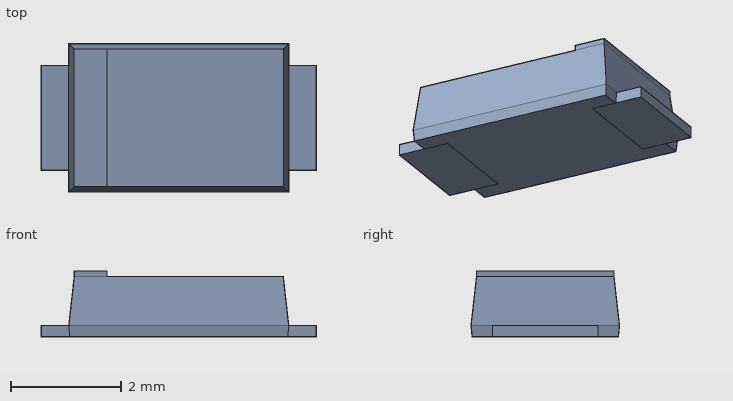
import cadquery as cq

total_length = 5.0
total_height = 1.2

housing_length = 4.0
housing_width = 2.7
parting_height = 0.21
top_inset = 0.1
base_inset = 0.02

band_length = 0.6
band_thickness = 0.1

lead_width = 1.91
lead_depth_in_housing = 0.5

housing_height = total_height - band_thickness
top_length = housing_length - 2 * top_inset
top_width = housing_width - 2 * top_inset
lead_length = (total_length - housing_length) / 2 + lead_depth_in_housing


def frustum(bottom_z, bottom_inset, top_z, upper_inset):
    """Tapered block between two rectangles inset from the parting outline."""
    return (
        cq.Workplane("XY", origin=(0, 0, bottom_z))
        .rect(housing_length - 2 * bottom_inset, housing_width - 2 * bottom_inset)
        .workplane(offset=top_z - bottom_z)
        .rect(housing_length - 2 * upper_inset, housing_width - 2 * upper_inset)
        .loft(ruled=True)
    )


def make_lead(side):
    """Flat lead at the -X end (side = -1) or the +X end (side = 1)."""
    center_x = side * (total_length - lead_length) / 2
    return cq.Workplane("XY").center(center_x, 0).box(
        lead_length, lead_width, parting_height, centered=(True, True, False)
    )


def make_housing(leads):
    """Two tapered halves with a matching recess for each lead."""
    lower_half = frustum(0, base_inset, parting_height, 0)
    upper_half = frustum(parting_height, 0, housing_height, top_inset)
    housing = lower_half.union(upper_half)
    for lead in leads:
        housing = housing.cut(lead)
    return housing


def add_band(housing):
    """Raise the polarity band, moulded in one piece with the housing."""
    band = cq.Workplane("XY", origin=((band_length - top_length) / 2, 0, housing_height)).box(
        band_length, top_width, band_thickness, centered=(True, True, False)
    )
    return housing.union(band)


leads = [make_lead(side) for side in (-1, 1)]
housing = add_band(make_housing(leads))

result = cq.Compound.makeCompound([housing.val(), *[lead.val() for lead in leads]])